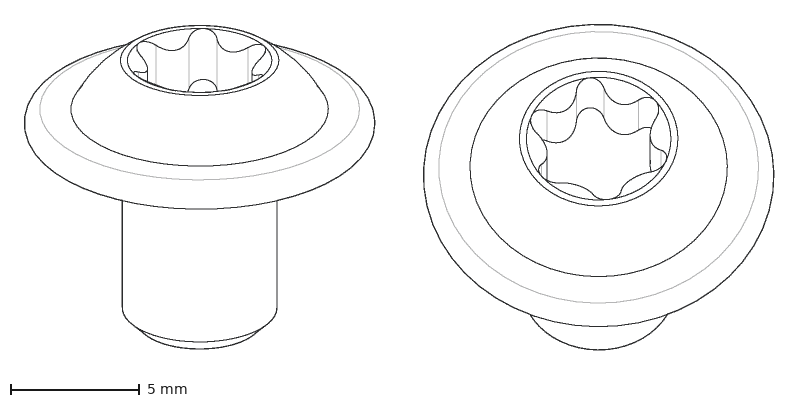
import cadquery as cq
import math

SHANK_RADIUS = 3.0
SHANK_LENGTH = 8.0
TIP_CHAMFER = 0.61
NECK_FILLET = 0.48

FLANGE_RADIUS = 6.8
FLANGE_THICKNESS = 1.2
RIM_RADIUS = FLANGE_THICKNESS / 2

DOME_BASE_RADIUS = 4.99
DOME_TOP_RADIUS = 3.07
DOME_HEIGHT = 2.11

LOBE_COUNT = 6
LOBE_TIP_RADIUS = 2.8
SOCKET_ROOT_RADIUS = 2.03
LOBE_ARC_RADIUS = 0.56
SOCKET_WALL_DEPTH = 2.2
CONE_SLOPE_ANGLE = 30.0

flange_top = SHANK_LENGTH + FLANGE_THICKNESS
head_top = flange_top + DOME_HEIGHT


def polar(radius, angle):
    """Point at a distance from the axis, with the angle in degrees."""
    turn = math.radians(angle)
    return radius * math.cos(turn), radius * math.sin(turn)


def screw_body():
    """Revolve the half-profile of shank, flange and dome."""
    middle_z = flange_top + DOME_HEIGHT / 2
    base_rise = (DOME_BASE_RADIUS**2 - DOME_TOP_RADIUS**2 - DOME_HEIGHT**2) / (2 * DOME_HEIGHT)
    sphere_radius = math.hypot(DOME_BASE_RADIUS, base_rise)
    middle_radius = math.sqrt(sphere_radius**2 - (base_rise + DOME_HEIGHT / 2) ** 2)

    rim_start = FLANGE_RADIUS - RIM_RADIUS
    neck_offset = NECK_FILLET * (1 - math.sqrt(0.5))
    return (
        cq.Workplane("XZ")
        .lineTo(SHANK_RADIUS - TIP_CHAMFER, 0)
        .lineTo(SHANK_RADIUS, TIP_CHAMFER)
        .lineTo(SHANK_RADIUS, SHANK_LENGTH - NECK_FILLET)
        .threePointArc(
            (SHANK_RADIUS + neck_offset, SHANK_LENGTH - neck_offset),
            (SHANK_RADIUS + NECK_FILLET, SHANK_LENGTH),
        )
        .lineTo(rim_start, SHANK_LENGTH)
        .threePointArc((FLANGE_RADIUS, SHANK_LENGTH + RIM_RADIUS), (rim_start, flange_top))
        .lineTo(DOME_BASE_RADIUS, flange_top)
        .threePointArc((middle_radius, middle_z), (DOME_TOP_RADIUS, head_top))
        .lineTo(0, head_top)
        .close()
        .revolve(360, (0, 0, 0), (0, 1, 0))
    )


def lobed_prism(bottom_z, height):
    """Six-lobe prism made of tangent lobe and root arcs."""
    pitch = 360 / LOBE_COUNT
    half_pitch = pitch / 2
    lobe_centre = LOBE_TIP_RADIUS - LOBE_ARC_RADIUS

    cosine = math.cos(math.radians(half_pitch))
    root_arc_radius = (
        lobe_centre**2
        + SOCKET_ROOT_RADIUS**2
        - 2 * lobe_centre * SOCKET_ROOT_RADIUS * cosine
        - LOBE_ARC_RADIUS**2
    ) / (2 * (LOBE_ARC_RADIUS - SOCKET_ROOT_RADIUS + lobe_centre * cosine))

    root_x, root_y = polar(SOCKET_ROOT_RADIUS + root_arc_radius, half_pitch)
    share = LOBE_ARC_RADIUS / (LOBE_ARC_RADIUS + root_arc_radius)
    tangent_x = lobe_centre + share * (root_x - lobe_centre)
    tangent_y = share * root_y
    tangent_radius = math.hypot(tangent_x, tangent_y)
    tangent_angle = math.degrees(math.atan2(tangent_y, tangent_x))

    first_lobe = 90
    outline = cq.Workplane("XY", origin=(0, 0, bottom_z))
    outline = outline.moveTo(*polar(tangent_radius, first_lobe - tangent_angle))
    for index in range(LOBE_COUNT):
        lobe = first_lobe + index * pitch
        outline = outline.threePointArc(
            polar(LOBE_TIP_RADIUS, lobe), polar(tangent_radius, lobe + tangent_angle)
        )
        outline = outline.threePointArc(
            polar(SOCKET_ROOT_RADIUS, lobe + half_pitch),
            polar(tangent_radius, lobe + pitch - tangent_angle),
        )
    return outline.close().extrude(height)


def pointed_cutter(rim_z, top_z):
    """Cylinder of the lobe tip radius, ending below rim_z in a cone."""
    cone_depth = LOBE_TIP_RADIUS * math.tan(math.radians(CONE_SLOPE_ANGLE))
    return (
        cq.Workplane("XZ")
        .moveTo(0, rim_z - cone_depth)
        .lineTo(LOBE_TIP_RADIUS, rim_z)
        .lineTo(LOBE_TIP_RADIUS, top_z)
        .lineTo(0, top_z)
        .close()
        .revolve(360, (0, 0, 0), (0, 1, 0))
    )


def socket():
    """Lobed recess with a conical floor and a conical lead-in."""
    clearance = 0.14
    top_z = head_top + clearance
    floor_rim_z = head_top - SOCKET_WALL_DEPTH
    prism = lobed_prism(0, top_z)
    recess = prism.intersect(pointed_cutter(floor_rim_z, top_z))
    return recess.union(pointed_cutter(head_top, top_z))


result = screw_body().cut(socket())